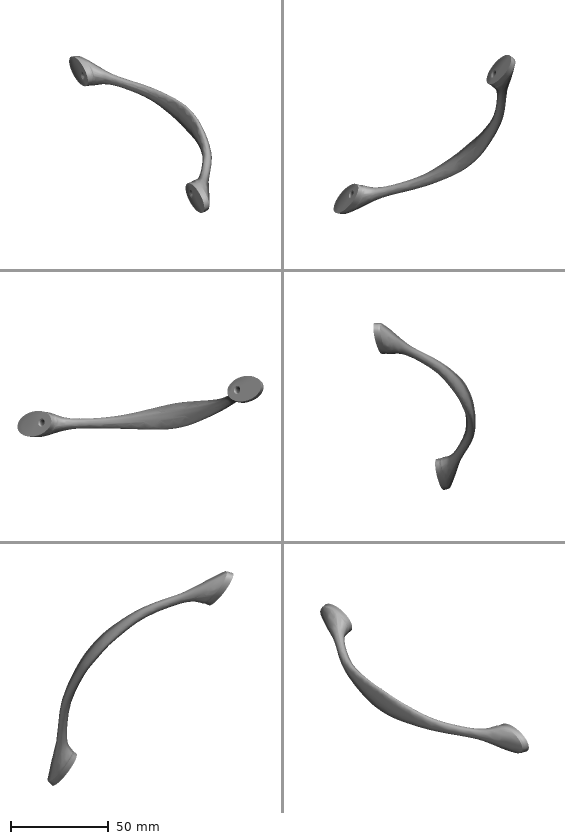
import cadquery as cq
import math

length = 159.6
arch_height = 32.4
max_width = 13.1
crown_thickness = 5.0

foot_inner_x = -57.6
step_height = 2.2
step_outer_x = -79.2
step_inner_x = -57.3
rim_outer_height = 3.4
rim_inner_height = 3.0
rim_outer_x = -78.7
rim_inner_x = -57.0
rim_width = 13.0

hole_x = 64.0
hole_diameter = 3.2
hole_depth = 6.4
drill_point_angle = 118
mouth_diameter = 4.1
mouth_depth = 0.5

rim_section = ((rim_outer_x, rim_outer_height), (rim_inner_x, rim_inner_height), rim_width)
half_sections = [
    rim_section,
    ((-71.2, 7.0), (-56.3, 4.6), 11.2),
    ((-65.1, 9.7), (-55.2, 6.9), 8.5),
    ((-57.3, 13.2), (-52.2, 10.0), 5.7),
    ((-47.2, 19.2), (-44.7, 15.2), 5.1),
    ((-33.8, 26.2), (-32.0, 21.7), 6.7),
    ((-18.5, 30.5), (-17.5, 25.7), 10.2),
    ((-8.0, 32.0), (-7.7, 27.3), 12.5),
]
crown_section = ((0, arch_height), (0, arch_height - crown_thickness), max_width)


def mirrored(section):
    """The same section on the right half of the pull."""
    outer, inner, width = section
    return (-outer[0], outer[1]), (-inner[0], inner[1]), width


def oval(section):
    """Closed elliptical wire with one axis from outer to inner edge and the other along Z."""
    outer, inner, width = section
    dx = inner[0] - outer[0]
    dy = inner[1] - outer[1]
    depth = math.hypot(dx, dy)
    centre = ((outer[0] + inner[0]) / 2, (outer[1] + inner[1]) / 2, 0)
    plane = cq.Plane(origin=centre, xDir=(dx, dy, 0), normal=(-dy, dx, 0))
    samples = 16
    points = []
    for i in range(samples):
        angle = math.pi + 2 * math.pi * i / samples
        points.append((depth / 2 * math.cos(angle), width / 2 * math.sin(angle)))
    return cq.Workplane(plane).spline(points, periodic=True).close().val()


def make_grip():
    right_half = [mirrored(section) for section in reversed(half_sections)]
    sections = half_sections + [crown_section] + right_half
    return cq.Workplane(cq.Solid.makeLoft([oval(section) for section in sections]))


def make_foot():
    """Left foot plate, a short stack of tapered ovals."""
    base = ((-length / 2, 0), (foot_inner_x, 0), max_width)
    step = ((step_outer_x, step_height), (step_inner_x, step_height), max_width)
    wires = [oval(section) for section in (base, step, rim_section)]
    return cq.Workplane(cq.Solid.makeLoft(wires, True))


def make_hole(x):
    """Blind screw hole with a countersunk mouth and a conical drill point."""
    start = cq.Vector(x, 0, 0)
    inward = cq.Vector(0, 1, 0)
    bore = cq.Solid.makeCylinder(hole_diameter / 2, hole_depth, start, inward)
    mouth = cq.Solid.makeCone(mouth_diameter / 2, hole_diameter / 2, mouth_depth, start, inward)
    point_depth = hole_diameter / 2 / math.tan(math.radians(drill_point_angle / 2))
    point_start = cq.Vector(x, hole_depth, 0)
    point = cq.Solid.makeCone(hole_diameter / 2, 0, point_depth, point_start, inward)
    return cq.Workplane(bore).union(cq.Workplane(mouth)).union(cq.Workplane(point))


foot = make_foot()
result = make_grip().union(foot).union(foot.mirror("YZ"))
for x in (-hole_x, hole_x):
    result = result.cut(make_hole(x))